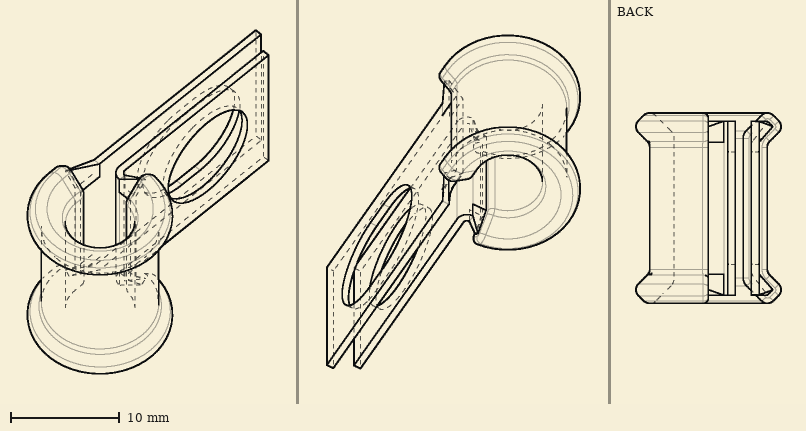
import cadquery as cq
import math


metal = 0.7
strip_height = 15.95
overall_length = 31.67
short_leg_end = 23.8
short_leg_x = -2.47
bend_inside = 0.38
flare_root = 6.05
flare_start = 3.93

rubber = 0.75
bore_diameter = 6.35
flange_diameter = 13.33
sleeve_height = 17.48
sleeve_straight = 1.43
sleeve_sweep = 270
end_round = 0.5
groove_round = 0.75
bore_round = 1.0

hole_y = 15.87
hole_diameter = 10.32
slot_length = 12.7

bore_radius = bore_diameter / 2
flange_radius = flange_diameter / 2
long_leg_end = overall_length - flange_radius

metal_inner = bore_radius + rubber
metal_outer = metal_inner + metal
body_radius = metal_outer + rubber
wall_middle = (bore_radius + body_radius) / 2
flare_step = metal * math.sqrt(0.5)
inner_tip = (flange_radius - rubber - flare_step, sleeve_height / 2 - rubber)
outer_tip = (inner_tip[0] + flare_step, inner_tip[1] - flare_step)
corner_reach = rubber * math.sqrt(2)


def sleeve_section():
    """Wall section on the -X side: straight body with a 45 degree flange at each end."""
    flange_outer = (outer_tip[0] + corner_reach, outer_tip[1])
    flange_inner = (inner_tip[0], inner_tip[1] + corner_reach)
    groove = (body_radius, flange_outer[1] - (flange_outer[0] - body_radius))
    bore_mouth = (bore_radius, flange_inner[1] - (flange_inner[0] - bore_radius))
    half = [groove, flange_outer, flange_inner, bore_mouth]
    upper = [(-r, z) for r, z in half]
    lower = [(x, -z) for x, z in reversed(upper)]
    section = cq.Sketch().polygon(upper + lower + upper[:1])
    for (radius, height), rounding in zip(half, (groove_round, rubber, rubber, bore_round)):
        upper_corner = cq.selectors.NearestToPointSelector((-radius, height, 0))
        lower_corner = cq.selectors.NearestToPointSelector((-radius, -height, 0))
        section = section.reset().vertices(upper_corner + lower_corner).fillet(rounding)
    return section.reset()


def sleeve():
    """Rubber sleeve around the loop, with rounded ends."""
    section = sleeve_section()
    loop = cq.Workplane("XZ").placeSketch(section).revolve(sleeve_sweep, (0, 0), (0, 1))
    straight = cq.Workplane("XZ").placeSketch(section).extrude(-sleeve_straight)
    body = loop.union(straight)
    start_face = cq.selectors.NearestToPointSelector((-wall_middle, sleeve_straight, 0))
    end_face = cq.selectors.NearestToPointSelector((0, wall_middle, 0))
    return body.faces(start_face + end_face).edges().fillet(end_round)


def flare(place, sleeve_end, leg_start, side):
    """Strip edge changing from the flat leg out to the flared edge inside the flange.

    `place` turns a loop radius, a distance along the strip and a height into X, Y, Z.
    """
    flat = [
        (metal_outer, flare_root),
        (metal_outer, strip_height / 2),
        (metal_inner, strip_height / 2),
        (metal_inner, flare_root),
    ]
    flared = [(metal_outer, flare_root), outer_tip, inner_tip, (metal_inner, flare_root)]
    ends = []
    for outline, along in ((flared, sleeve_end), (flat, leg_start)):
        points = [cq.Vector(*place(r, along, side * z)) for r, z in outline]
        ends.append(cq.Wire.makePolygon(points, close=True))
    return cq.Workplane(cq.Solid.makeLoft(ends, True))


def long_leg():
    """Straight leg on the -X side, with the slot."""
    def place(radius, along, z):
        return (-radius, along, z)

    leg_length = long_leg_end - flare_start
    neck_length = flare_start - sleeve_straight
    leg = cq.Workplane().box(metal, leg_length, strip_height).translate(
        (-wall_middle, flare_start + leg_length / 2, 0))
    neck = cq.Workplane().box(metal, neck_length, 2 * flare_root).translate(
        (-wall_middle, sleeve_straight + neck_length / 2, 0))
    leg = leg.union(neck)
    for side in (1, -1):
        leg = leg.union(flare(place, sleeve_straight, flare_start, side))
    slot = (cq.Workplane("YZ", origin=(-wall_middle - metal, hole_y, 0))
            .slot2D(slot_length, hole_diameter).extrude(2 * metal))
    return leg.cut(slot)


def short_leg():
    """Leg bent back from the +Y end of the loop, with the round hole."""
    def place(radius, along, z):
        return (along, radius, z)

    bend_outside = bend_inside + metal
    bend_x = short_leg_x + bend_outside
    bend_y = metal_inner + bend_outside

    def bend_middle(radius):
        reach = radius * math.sqrt(0.5)
        return (bend_x - reach, bend_y - reach)

    leg = (cq.Workplane("XY", origin=(0, 0, -strip_height / 2))
           .moveTo(short_leg_x, short_leg_end)
           .lineTo(short_leg_x, bend_y)
           .threePointArc(bend_middle(bend_outside), (bend_x, metal_inner))
           .lineTo(bend_x, metal_outer)
           .threePointArc(bend_middle(bend_inside), (short_leg_x + metal, bend_y))
           .lineTo(short_leg_x + metal, short_leg_end)
           .close().extrude(strip_height))
    neck = cq.Workplane().box(-bend_x, metal, 2 * flare_root).translate(
        (bend_x / 2, wall_middle, 0))
    leg = leg.union(neck)
    for side in (1, -1):
        leg = leg.union(flare(place, 0, bend_x, side))
    hole = (cq.Workplane("YZ", origin=(short_leg_x - metal, hole_y, 0))
            .circle(hole_diameter / 2).extrude(3 * metal))
    return leg.cut(hole)


result = sleeve().union(long_leg()).union(short_leg())